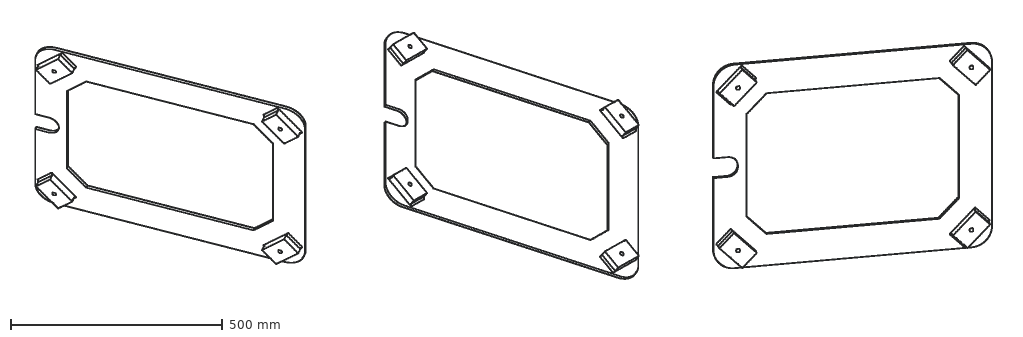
import cadquery as cq

length = 678.5
height = 518.5
plate_thickness = 8.0
corner_radius = 50.0

border = 80.0
opening_chamfer = 49.0

notch_width = 50.0
notch_depth = 60.0

total_depth = 28.0
pad_thickness = total_depth - plate_thickness
pad_length = 79.0
pad_width = 50.0
pad_inset_x = 55.0
pad_inset_z = 52.0
pad_angle = 45
weld_leg = 5.0
hole_diameter = 9.5


def make_plate():
    """Rounded plate whose front face lies at Y = 0."""
    plate = cq.Workplane("XY").box(length, plate_thickness, height, centered=(True, False, True))
    return plate.edges("|Y").fillet(corner_radius)


def make_opening():
    """Chamfered rectangular cutter for the middle of the frame."""
    opening = cq.Workplane("XY").box(
        length - 2 * border, plate_thickness, height - 2 * border, centered=(True, False, True)
    )
    return opening.edges("|Y").chamfer(opening_chamfer)


def make_notch():
    """Cutter whose inner end is a half circle; its outer end lies beyond the edge."""
    return (
        cq.Workplane("XZ")
        .center(-length / 2, 0)
        .slot2D(2 * notch_depth, notch_width)
        .extrude(-plate_thickness)
    )


def make_pad(side_x, side_z):
    """Drilled pad with a triangular weld bead along each short end."""
    bead_end = pad_length / 2 + weld_leg
    profile = [
        (-bead_end, 0),
        (-pad_length / 2, -weld_leg),
        (-pad_length / 2, -pad_thickness),
        (pad_length / 2, -pad_thickness),
        (pad_length / 2, -weld_leg),
        (bead_end, 0),
    ]
    pad = cq.Workplane("XY").polyline(profile).close().extrude(pad_width / 2, both=True)
    hole = cq.Workplane("XZ").circle(hole_diameter / 2).extrude(pad_thickness)
    turn = side_x * side_z * pad_angle
    center = (side_x * (length / 2 - pad_inset_x), 0, side_z * (height / 2 - pad_inset_z))
    return pad.cut(hole).rotate((0, 0, 0), (0, 1, 0), turn).translate(center)


result = make_plate().cut(make_opening()).cut(make_notch())
for side_x in (-1, 1):
    for side_z in (-1, 1):
        result = result.union(make_pad(side_x, side_z))